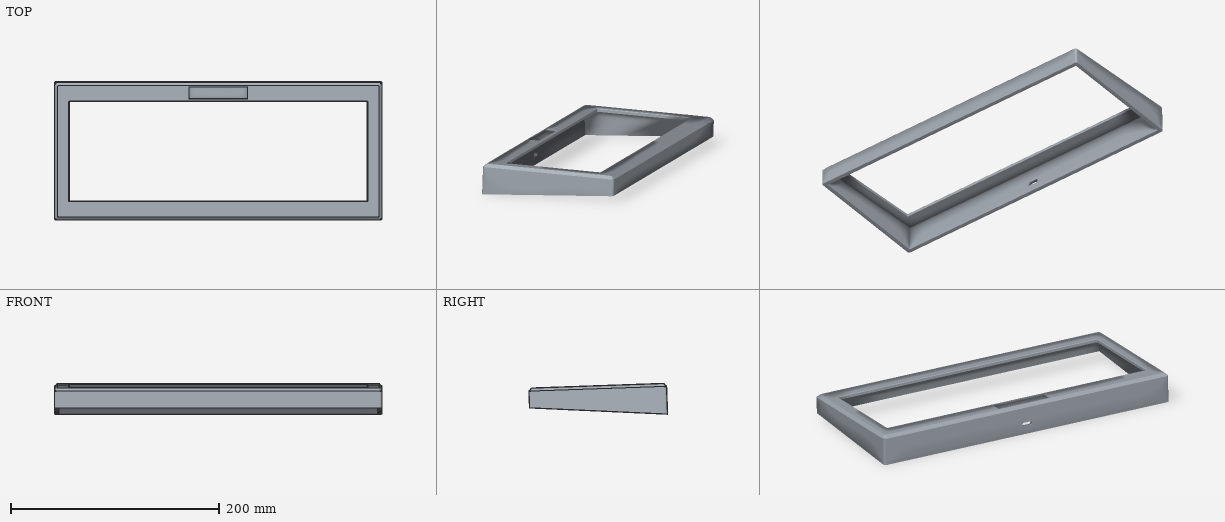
import cadquery as cq
import math


case_width = 314.55
case_depth = 132.45
back_height = 29.84
top_tilt = 2.0
bottom_tilt = 2.6
top_chamfer = 3.0
corner_radius = 2.0

opening_width = 286.0
opening_depth = 95.5
opening_chamfer = 0.6
chamfer_angle = 45.0
opening_corner_radius = 0.5
plate_thickness = 3.3

wall_thickness = 4.15
lip_height = 5.6

panel_width = 56.0
panel_depth = 11.4
panel_recess = 2.0
panel_to_back_edge = 4.3

slot_center_x = -0.8
slot_length = 11.0
slot_height = 4.0
slot_floor = 7.8

overcut = 10.0

half_depth = case_depth / 2
lip_top = -back_height + lip_height
wedge_angle = top_tilt + bottom_tilt


def slope(angle):
    """Sideways shift per unit of length along a direction leaning by this angle."""
    return math.tan(math.radians(angle))


front_height = back_height - case_depth * slope(wedge_angle)


def along_x(points, half_width):
    """Prism with a Y-Z outline, reaching equally far to both sides of X = 0."""
    return cq.Workplane("YZ").polyline(points).close().extrude(half_width, both=True)


def outer_wedge():
    """Solid wedge with a chamfered top edge and rounded corners."""
    block = (
        cq.Workplane("XY")
        .box(case_width, case_depth, back_height, centered=(True, True, False))
        .translate((0, 0, -back_height))
        .faces(">Z")
        .chamfer(top_chamfer)
    )
    block = block.edges("not(|X or |Y)").fillet(corner_radius)
    below_bottom = [
        (half_depth + overcut, -back_height - overcut * slope(wedge_angle)),
        (-half_depth - overcut, -front_height + overcut * slope(wedge_angle)),
        (-half_depth - overcut, -back_height - overcut),
        (half_depth + overcut, -back_height - overcut),
    ]
    return block.cut(along_x(below_bottom, case_width))


def back_wall_inside(z):
    """Y of the inner side of the back wall: upright lip, then square to the bottom face."""
    y_bottom = half_depth - wall_thickness
    y_bend = y_bottom + (min(z, lip_top) + back_height) * slope(top_tilt)
    return y_bend + max(z - lip_top, 0) * slope(wedge_angle)


def cavity():
    """Space under the top plate, open at the bottom."""
    ceiling = -plate_thickness
    floor = -back_height - overcut
    y_front = -half_depth + wall_thickness
    outline = [(y_front, floor), (y_front, ceiling)]
    outline += [(back_wall_inside(z), z) for z in (ceiling, lip_top, floor)]
    return along_x(outline, case_width / 2 - wall_thickness)


def opening_rim():
    """Flared upper end of the opening."""
    rim_width = opening_width + 2 * opening_chamfer
    rim_depth = opening_depth + 2 * opening_chamfer
    rim_radius = opening_corner_radius + opening_chamfer
    outline = cq.Sketch().rect(rim_width, rim_depth).vertices().fillet(rim_radius)
    return cq.Workplane("XY").placeSketch(outline).extrude(-opening_chamfer, taper=chamfer_angle)


def opening():
    """Rectangular opening through the top plate with a chamfered rim."""
    return (
        cq.Workplane("XY")
        .rect(opening_width, opening_depth)
        .extrude(-plate_thickness)
        .edges("|Z")
        .fillet(opening_corner_radius)
        .union(opening_rim())
    )


def panel():
    """Shallow rectangular recess in the top face."""
    center_y = half_depth - panel_to_back_edge - panel_depth / 2
    return cq.Workplane("XY").center(0, center_y).rect(panel_width, panel_depth).extrude(-panel_recess)


def cable_slot():
    """Round-ended slot running level with the top face through the back wall."""
    center_z = -back_height + slot_floor + slot_height / 2
    return (
        cq.Workplane("XZ", origin=(slot_center_x, half_depth + overcut, center_z))
        .slot2D(slot_length, slot_height)
        .extrude(2 * overcut)
    )


case = outer_wedge().cut(cavity()).cut(opening()).cut(panel()).cut(cable_slot())
result = case.rotate((0, 0, 0), (1, 0, 0), top_tilt)